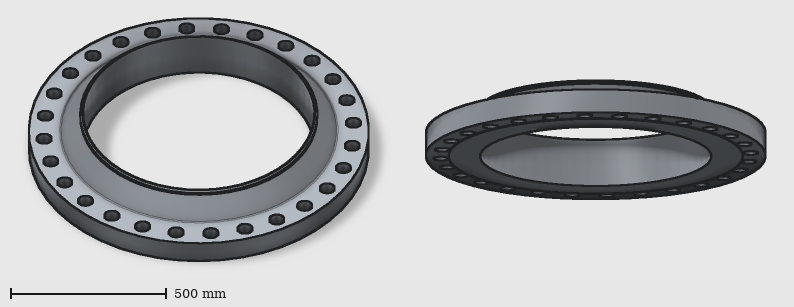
import cadquery as cq
import math

flange_radius = 546.0
flange_thickness = 76.0
overall_height = 154.0

raised_face_radius = 473.0
raised_face_height = 2.0

bore_radius = 371.0
hub_base_radius = 444.0
hub_top_radius = 381.0
hub_base_fillet = 7.0

weld_land_width = 2.0
weld_bevel_height = 7.0
weld_lip_height = 7.0

bolt_count = 28
bolt_circle_radius = 498.0
bolt_hole_diameter = 48.0

flange_bottom = raised_face_height
flange_top = flange_bottom + flange_thickness
bevel_bottom = overall_height - weld_bevel_height
cone_top = bevel_bottom - weld_lip_height


def flange_body():
    """Half section of the flange, hub and weld end, revolved about Z."""
    cone_run = hub_base_radius - hub_top_radius
    cone_rise = cone_top - flange_top
    cone_angle = math.atan2(cone_rise, cone_run)
    tangent_length = hub_base_fillet * math.tan(cone_angle / 2)

    fillet_outer_radius = hub_base_radius + tangent_length
    fillet_end = (
        hub_base_radius - tangent_length * math.cos(cone_angle),
        flange_top + tangent_length * math.sin(cone_angle),
    )
    fillet_middle = (
        fillet_outer_radius - hub_base_fillet * math.sin(cone_angle / 2),
        flange_top + hub_base_fillet * (1 - math.cos(cone_angle / 2)),
    )

    section = (
        cq.Workplane("XZ")
        .moveTo(bore_radius, 0)
        .lineTo(raised_face_radius, 0)
        .lineTo(raised_face_radius, flange_bottom)
        .lineTo(flange_radius, flange_bottom)
        .lineTo(flange_radius, flange_top)
        .lineTo(fillet_outer_radius, flange_top)
        .threePointArc(fillet_middle, fillet_end)
        .lineTo(hub_top_radius, cone_top)
        .lineTo(hub_top_radius, bevel_bottom)
        .lineTo(bore_radius + weld_land_width, overall_height)
        .lineTo(bore_radius, overall_height)
        .close()
    )
    return section.revolve(360, (0, 0, 0), (0, 1, 0))


def bolt_holes():
    """Cylinders that cut the ring of bolt holes through the flange."""
    return (
        cq.Workplane("XY")
        .polarArray(bolt_circle_radius, 0, 360, bolt_count)
        .circle(bolt_hole_diameter / 2)
        .extrude(flange_top)
    )


result = flange_body().cut(bolt_holes())